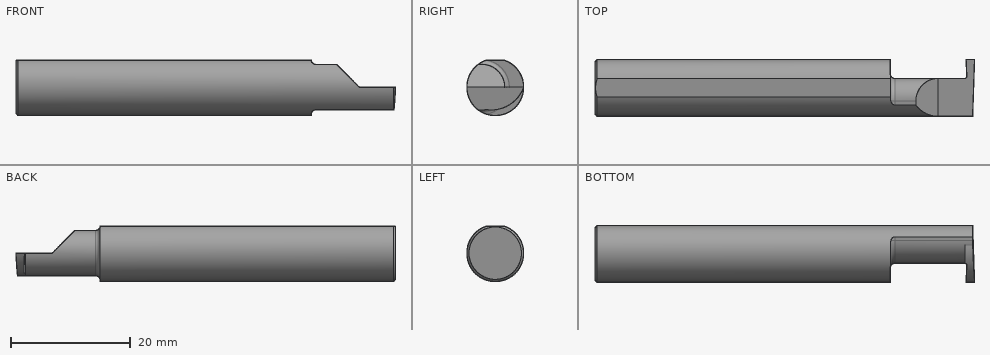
import cadquery as cq

length = 63.5
radius = 4.75
flat_height = 4.5
end_chamfer = 0.4
shank_length = 49.4

neck_radius = 3.8
neck_side = 1.6
neck_center = neck_side - neck_radius
shoulder_fillet = 0.75

rake_start = 57.4
ramp_start = 53.65

tooth_root_back = 62.15
tooth_tip_back = 62.05
root_fillet = 0.3
heel_radius = 5.7
heel_center_y = -0.65
heel_center_z = heel_radius - neck_radius
end_tilt = 1.9
end_relief = 2.0

margin = 3.2
span = 4 * radius
pick_tolerance = 0.05


def make_shank():
    bar = cq.Workplane("YZ").circle(radius).extrude(shank_length)
    return bar.faces("<X").chamfer(end_chamfer)


def make_flat_cut():
    """Clears the long flat on top of the shank."""
    return cq.Workplane("XY", origin=(0, 0, flat_height)).rect(2 * length + margin, span).extrude(margin)


def neck_section(grow, start, depth):
    """Flat-sided round of the neck, grown outward by the given amount."""
    r = neck_radius + grow
    return (
        cq.Workplane("YZ", origin=(start, 0, 0))
        .moveTo(-span, r)
        .lineTo(neck_center, r)
        .threePointArc((neck_center + r, 0), (neck_center, -r))
        .lineTo(-span, -r)
        .close()
        .extrude(depth)
    )


def bar_envelope(start):
    return cq.Workplane("YZ", origin=(start, 0, 0)).circle(radius).extrude(length - start)


def make_neck():
    """Neck with a concave fillet where it leaves the shank shoulder."""
    flange_depth = 2 * shoulder_fillet
    flange = neck_section(2 * shoulder_fillet, shank_length - flange_depth, flange_depth)
    stem = neck_section(0, shank_length - flange_depth, length - shank_length + flange_depth)
    corner = cq.selectors.BoxSelector(
        (shank_length - pick_tolerance, -span / 2, -span),
        (shank_length + pick_tolerance, span, span),
        boundingbox=False,
    )
    body = flange.union(stem)
    inner_reach = neck_radius + pick_tolerance
    inner_edges = [
        edge
        for edge in body.edges(corner).vals()
        if max(abs(edge.BoundingBox().zmin), abs(edge.BoundingBox().zmax)) <= inner_reach
    ]
    body = body.newObject(inner_edges).fillet(shoulder_fillet)
    return body.intersect(bar_envelope(shank_length))


def make_tooth():
    """Hook reaching out to the bar radius, with a rounded heel below its edge."""
    outline = (
        cq.Workplane("XY", origin=(0, 0, -radius))
        .moveTo(tooth_root_back - root_fillet, neck_side)
        .radiusArc((tooth_root_back, neck_side + root_fillet), -root_fillet)
        .lineTo(tooth_tip_back, radius)
        .lineTo(length, radius)
        .lineTo(length, neck_center)
        .lineTo(tooth_root_back - root_fillet, neck_center)
        .close()
        .extrude(radius)
    )
    heel = (
        cq.Workplane("YZ", origin=(ramp_start, heel_center_y, heel_center_z))
        .circle(heel_radius)
        .extrude(length - ramp_start)
    )
    return outline.intersect(heel).intersect(bar_envelope(ramp_start))


def make_rake_cut():
    """Clears everything above the ramp and the rake face."""
    ramp_rise = radius + margin
    ramp_run = ramp_rise * (rake_start - ramp_start) / neck_radius
    return (
        cq.Workplane("XZ", origin=(0, span / 2, 0))
        .moveTo(rake_start, 0)
        .lineTo(rake_start - ramp_run, ramp_rise)
        .lineTo(length + margin, ramp_rise)
        .lineTo(length + margin, 0)
        .close()
        .extrude(span)
    )


def make_end_cut():
    """Tilted end plane through the tooth tip, relieved below and toward -Y."""
    return (
        cq.Workplane("XY")
        .box(margin, 2 * span, span, centered=(False, True, True))
        .rotate((0, 0, 0), (0, 1, 0), end_relief)
        .rotate((0, 0, 0), (0, 0, 1), -end_tilt)
        .translate((length, radius, 0))
    )


head = make_neck().union(make_tooth()).cut(make_rake_cut()).cut(make_end_cut())
result = make_shank().union(head).cut(make_flat_cut())